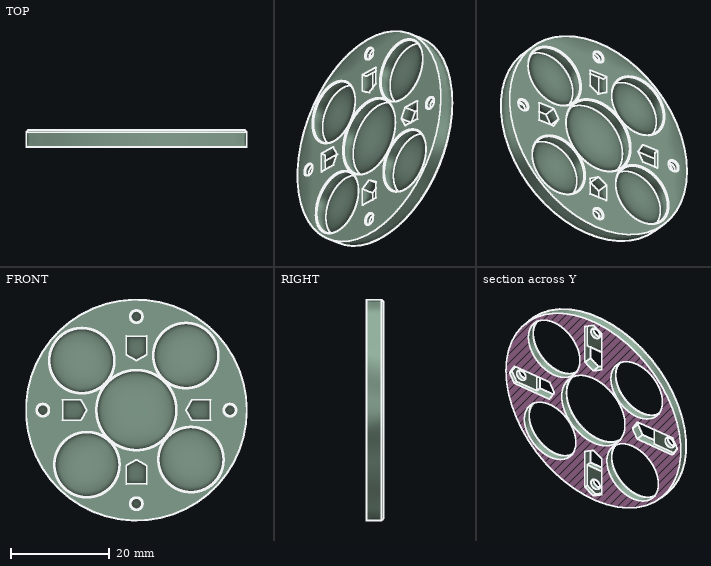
import cadquery as cq
import math

disc_diameter = 45.0
thickness = 3.5
rim_chamfer = 0.45
front_y = -thickness / 2

mouth_chamfer = 0.2
pocket_depth = 2.6
center_pocket_diameter = 16.1
outer_pocket_diameter = 13.1
outer_pocket_radius = 15.0
outer_pocket_angle = 47.8

hole_diameter = 2.3
hole_circle_radius = 19.05

nut_width = 4.2
nut_corner_radius = nut_width / math.sqrt(3)
slot_tip_radius = 10.1
slot_shoulder_radius = slot_tip_radius + nut_corner_radius / 2
mouth_outer_radius = 15.05
lip_thickness = 1.1
slot_depth = 2.7

pattern_count = 4
pattern_step = 360 / pattern_count


def front_plane():
    """Sketch plane on the front face: local x is X, local y is Z, normal is -Y."""
    return cq.Workplane("XZ", origin=(0, front_y, 0))


def round_pocket(diameter, depth, radius=0.0, angle=0.0):
    """Cutter for a blind round pocket with a chamfered mouth."""
    x = radius * math.cos(math.radians(angle))
    z = radius * math.sin(math.radians(angle))
    bore = front_plane().center(x, z).circle(diameter / 2).extrude(-depth)
    mouth = cq.Workplane(
        cq.Solid.makeCone(
            diameter / 2 + mouth_chamfer,
            diameter / 2,
            mouth_chamfer,
            pnt=cq.Vector(x, front_y, z),
            dir=cq.Vector(0, 1, 0),
        )
    )
    return bore.union(mouth)


def nut_slot(angle):
    """Cutter for a nut mouth and its hidden channel, at the given angle around the disc."""
    half_width = nut_width / 2
    mouth_outline = [
        (slot_tip_radius, 0),
        (slot_shoulder_radius, half_width),
        (mouth_outer_radius, half_width),
        (mouth_outer_radius, -half_width),
        (slot_shoulder_radius, -half_width),
    ]
    seat_shoulder_radius = hole_circle_radius + nut_corner_radius / 2
    channel_outline = [
        (slot_tip_radius, 0),
        (slot_shoulder_radius, half_width),
        (seat_shoulder_radius, half_width),
        (hole_circle_radius + nut_corner_radius, 0),
        (seat_shoulder_radius, -half_width),
        (slot_shoulder_radius, -half_width),
    ]
    mouth = front_plane().polyline(mouth_outline).close().extrude(-slot_depth)
    channel = (
        front_plane()
        .workplane(offset=-lip_thickness)
        .polyline(channel_outline)
        .close()
        .extrude(lip_thickness - slot_depth)
    )
    return mouth.union(channel).rotate((0, 0, 0), (0, 1, 0), angle)


disc = front_plane().circle(disc_diameter / 2).extrude(-thickness)
result = disc.faces(">Y").chamfer(rim_chamfer)

result = result.cut(round_pocket(center_pocket_diameter, pocket_depth))
for index in range(pattern_count):
    turn = index * pattern_step
    result = result.cut(
        round_pocket(outer_pocket_diameter, pocket_depth, outer_pocket_radius, outer_pocket_angle + turn)
    )
    result = result.cut(round_pocket(hole_diameter, slot_depth, hole_circle_radius, turn))
    result = result.cut(nut_slot(turn))